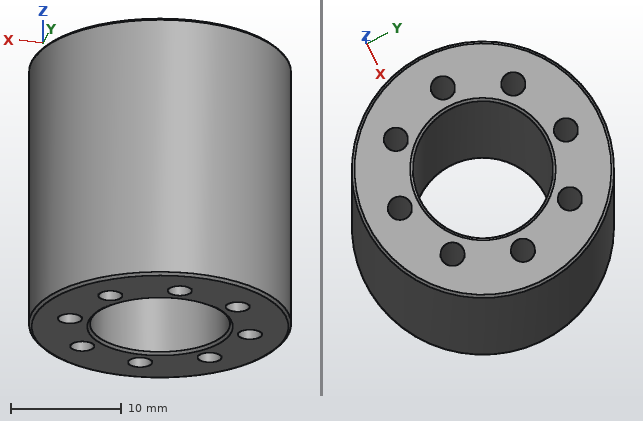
import cadquery as cq

height = 25.4
outer_diameter = 23.8
bore_diameter = 12.7
edge_chamfer = 0.25

hole_count = 8
hole_diameter = 2.18
hole_circle_diameter = 16.71


def make_sleeve():
    """Hollow cylinder with every inner and outer rim chamfered."""
    sleeve = cq.Workplane("XY").circle(outer_diameter / 2).circle(bore_diameter / 2).extrude(height)
    return sleeve.faces("<Z or >Z").edges().chamfer(edge_chamfer)


def make_holes():
    """Evenly spaced cylinders, the first one on the +X axis."""
    return (
        cq.Workplane("XY")
        .polarArray(hole_circle_diameter / 2, 0, 360, hole_count)
        .circle(hole_diameter / 2)
        .extrude(height)
    )


result = make_sleeve().cut(make_holes())